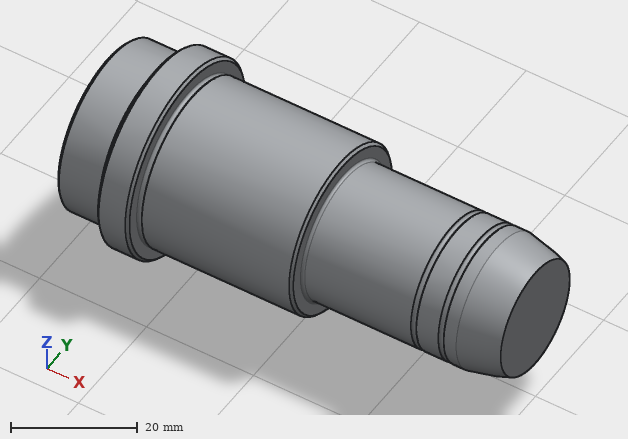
import cadquery as cq

length = 80.0
body_radius = 30.0 / 2
collar_radius = 35.0 / 2
shank_radius = 24.0 / 2
tip_radius = 10.2

collar_start = 9.0
collar_end = 15.0
body_end = 44.0
nose_start = 72.8

edge_chamfer = 0.5
shoulder_fillet = 0.5
nose_bulge = 0.2

groove_radius = 0.5
shank_groove_centres = (64.9, 70.0)


def cylinder(start, end, radius):
    """Solid cylinder along X between two stations."""
    return cq.Workplane("YZ", origin=(start, 0, 0)).circle(radius).extrude(end - start)


def ring(profile):
    """Revolve a closed (x, radius) profile around the X axis."""
    return profile.close().revolve(360, (0, 0, 0), (1, 0, 0))


def round_groove(centre, surface_radius):
    """Semicircular groove cut into a cylindrical surface."""
    return (
        cq.Workplane("XY")
        .center(centre, surface_radius)
        .circle(groove_radius)
        .revolve(360, (0, -surface_radius, 0), (1, -surface_radius, 0))
    )


head = cylinder(0, collar_start, body_radius).faces("<X").chamfer(edge_chamfer)
collar = cylinder(collar_start, collar_end, collar_radius).edges().chamfer(edge_chamfer)

body = cylinder(collar_end, body_end, body_radius).faces(">X").chamfer(edge_chamfer)
shank = cylinder(body_end, nose_start, shank_radius)
shoulder = ring(
    cq.Workplane("XY")
    .moveTo(body_end, 0)
    .lineTo(body_end, shank_radius + shoulder_fillet)
    .radiusArc((body_end + shoulder_fillet, shank_radius), -shoulder_fillet)
    .lineTo(body_end + shoulder_fillet, 0)
)

nose = ring(
    cq.Workplane("XY")
    .moveTo(nose_start, 0)
    .lineTo(nose_start, shank_radius)
    .sagittaArc((length, tip_radius), nose_bulge)
    .lineTo(length, 0)
)

pin = head
for section in (collar, body, shoulder, shank, nose):
    pin = pin.union(section)

for centre in (collar_start - groove_radius, collar_end + groove_radius):
    pin = pin.cut(round_groove(centre, body_radius))
for centre in shank_groove_centres:
    pin = pin.cut(round_groove(centre, shank_radius))

result = pin.translate((-length / 2, 0, 0))